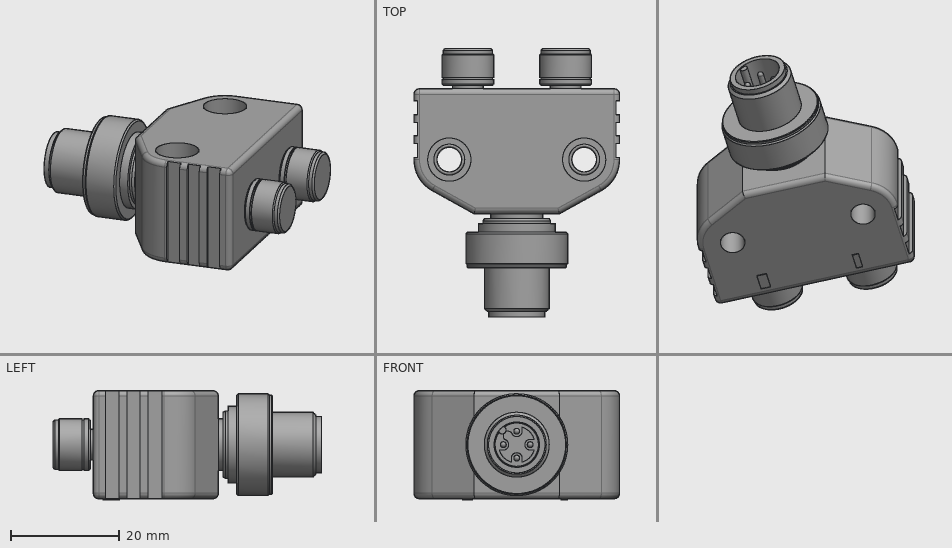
import cadquery as cq
import math


BODY_WIDTH = 38.0
BODY_LENGTH = 23.1
BODY_HEIGHT = 20.0
EDGE_RADIUS = 1.05
SLOPE_ANGLE = math.radians(29)

HOLE_X = 12.45
HOLE_Y = 10.0
HOLE_DIA = 4.5
COUNTERBORE_DIA = 8.0
COUNTERBORE_DEPTH = 4.55
BEAD_DIA = 5.7

GROOVE_ZONE_START = 10.4
GROOVE_ZONE_LENGTH = 10.45
GROOVE_DEPTH = 0.65
RIB_WIDTH = 1.5
RIB_OFFSET = 1.95

PAD_HEIGHT = 0.2
PAD_LENGTH = 3.05
PAD_REAR_GAP = 1.8
PADS = ((-9.15, 1.85), (8.8, 1.2))

SOCKET_X = 9.05
SOCKET_LENGTH = 7.45
SOCKET_DIA = 9.6
SOCKET_END_DIA = 9.2
SOCKET_NECK_DIA = 5.7
SOCKET_NECK_LENGTH = 0.55
SOCKET_COLLAR_END = 1.7
SOCKET_GROOVE_WIDTH = 0.35
SOCKET_SHOULDER = 6.2
SOCKET_TAPER = 0.25
SOCKET_CHAMFER = 0.35

PLUG_NECK_DIA = 9.6
PLUG_NECK_END = 0.85
SEAL_DIA = 12.5
SEAL_SMALL_DIA = 12.0
SEAL_END = 1.8
COLLAR_DIA = 14.25
NUT_START = 3.35
NUT_DIA = 18.85
NUT_LIP_DIA = 18.35
NUT_BODY_END = 9.15
NUT_LIP_START = 9.4
NUT_END = 9.95
NUT_CHAMFER = 0.3
NUT_LIP_CHAMFER = 0.15
BARREL_DIA = 12.0
BARREL_END = 18.0
BARREL_CHAMFER = 0.55
TIP_DIA = 10.4
TIP_END = 19.05

BORE_DIA = 8.4
BORE_FLOOR_DIA = 8.0
BORE_DEPTH = 7.95
INSERT_DIA = 6.75
INSERT_HEIGHT = 0.25
INSERT_BLEND_RADIUS = 0.65
PIN_DIA = 1.1
PIN_CIRCLE_RADIUS = 2.5
PIN_RECESS = 1.75
PIN_NOTCH_WIDTH = 2.0
KEY_DIA = 1.45
KEY_RECESS = 0.25
KEY_CIRCLE_RADIUS = 3.8
KEY_ANGLE = 45

EMBED = 0.5


def turned(profile):
    """Revolve (radius, y) points around the Y axis."""
    return cq.Workplane("XY").polyline(profile).close().revolve(360, (0, 0), (0, 1))


def along_y(sketch_y):
    """Workplane facing -Y at the given Y: local X is +X, local Y is +Z."""
    return cq.Workplane("XZ", origin=(0, sketch_y, 0))


def make_block():
    half = BODY_WIDTH / 2
    corner_radius = half - HOLE_X
    tangent_x = HOLE_X + corner_radius * math.sin(SLOPE_ANGLE)
    tangent_y = HOLE_Y - corner_radius * math.cos(SLOPE_ANGLE)
    front_x = tangent_x - tangent_y / math.tan(SLOPE_ANGLE)
    mid_angle = SLOPE_ANGLE / 2 - math.pi / 4
    mid_x = HOLE_X + corner_radius * math.cos(mid_angle)
    mid_y = HOLE_Y + corner_radius * math.sin(mid_angle)
    block = (
        cq.Workplane("XY", origin=(0, 0, -BODY_HEIGHT / 2))
        .moveTo(-front_x, 0)
        .lineTo(front_x, 0)
        .lineTo(tangent_x, tangent_y)
        .threePointArc((mid_x, mid_y), (half, HOLE_Y))
        .lineTo(half, BODY_LENGTH)
        .lineTo(-half, BODY_LENGTH)
        .lineTo(-half, HOLE_Y)
        .threePointArc((-mid_x, mid_y), (-tangent_x, tangent_y))
        .close()
        .extrude(BODY_HEIGHT)
    )
    block = block.faces(">Y").edges("|Z").fillet(EDGE_RADIUS)
    return block.faces("|Z").edges().fillet(EDGE_RADIUS)


def grip_grooves():
    """Both side channels, with the ribs between the grooves left standing."""
    zone_middle = GROOVE_ZONE_START + GROOVE_ZONE_LENGTH / 2
    channel_x = BODY_WIDTH / 2
    channels = (
        cq.Workplane("XY")
        .pushPoints([(-channel_x, zone_middle), (channel_x, zone_middle)])
        .rect(2 * GROOVE_DEPTH, GROOVE_ZONE_LENGTH)
        .extrude(BODY_HEIGHT, both=True)
    )
    ribs = (
        cq.Workplane("XY")
        .pushPoints([(0, zone_middle - RIB_OFFSET), (0, zone_middle + RIB_OFFSET)])
        .rect(2 * BODY_WIDTH, RIB_WIDTH)
        .extrude(BODY_HEIGHT, both=True)
    )
    return channels.cut(ribs)


def screw_hole():
    """Counterbored through hole, with a half-round bead standing around the bore."""
    top = BODY_HEIGHT / 2
    floor = top - COUNTERBORE_DEPTH
    bead_radius = (BEAD_DIA - HOLE_DIA) / 4
    bead_centre = (BEAD_DIA + HOLE_DIA) / 4
    return (
        cq.Workplane("XZ")
        .moveTo(0, -BODY_HEIGHT)
        .lineTo(HOLE_DIA / 2, -BODY_HEIGHT)
        .lineTo(HOLE_DIA / 2, floor)
        .threePointArc((bead_centre, floor + bead_radius), (BEAD_DIA / 2, floor))
        .lineTo(COUNTERBORE_DIA / 2, floor)
        .lineTo(COUNTERBORE_DIA / 2, top + EMBED)
        .lineTo(0, top + EMBED)
        .close()
        .revolve(360, (0, 0), (0, 1))
    )


def marking_pad(centre_x, width):
    underside = -BODY_HEIGHT / 2
    middle_y = BODY_LENGTH - PAD_REAR_GAP - PAD_LENGTH / 2
    height = PAD_HEIGHT + EMBED
    return (
        cq.Workplane("XY")
        .box(width, PAD_LENGTH, height, centered=(True, True, False))
        .translate((centre_x, middle_y, underside - PAD_HEIGHT))
    )


def socket():
    """Socket along +Y, its mounting face at Y = 0."""
    outer = SOCKET_DIA / 2
    neck = SOCKET_NECK_DIA / 2
    end = SOCKET_END_DIA / 2
    groove_end = SOCKET_COLLAR_END + SOCKET_GROOVE_WIDTH
    return turned([
        (0, -EMBED),
        (neck, -EMBED),
        (neck, SOCKET_NECK_LENGTH),
        (outer - SOCKET_CHAMFER, SOCKET_NECK_LENGTH),
        (outer, SOCKET_NECK_LENGTH + SOCKET_CHAMFER),
        (outer, SOCKET_COLLAR_END),
        (end, SOCKET_COLLAR_END),
        (end, groove_end),
        (outer, groove_end),
        (outer, SOCKET_SHOULDER),
        (end, SOCKET_SHOULDER + SOCKET_TAPER),
        (end, SOCKET_LENGTH - SOCKET_CHAMFER),
        (end - SOCKET_CHAMFER, SOCKET_LENGTH),
        (0, SOCKET_LENGTH),
    ])


def plug_shell():
    """Turned plug with its coupling nut and a slightly tapered blind bore."""
    neck = PLUG_NECK_DIA / 2
    seal = SEAL_DIA / 2
    seal_small = SEAL_SMALL_DIA / 2
    collar = COLLAR_DIA / 2
    nut = NUT_DIA / 2
    lip = NUT_LIP_DIA / 2
    barrel = BARREL_DIA / 2
    tip = TIP_DIA / 2
    bore_floor = TIP_END - BORE_DEPTH
    return turned([
        (0, EMBED),
        (neck, EMBED),
        (neck, -PLUG_NECK_END),
        (seal_small, -PLUG_NECK_END),
        (seal, -PLUG_NECK_END - (SEAL_DIA - SEAL_SMALL_DIA)),
        (seal, -SEAL_END),
        (collar, -SEAL_END),
        (collar, -NUT_START),
        (nut - NUT_CHAMFER, -NUT_START),
        (nut, -NUT_START - NUT_CHAMFER),
        (nut, -NUT_BODY_END),
        (lip, -NUT_LIP_START),
        (lip, -NUT_END + NUT_LIP_CHAMFER),
        (lip - NUT_LIP_CHAMFER, -NUT_END),
        (barrel, -NUT_END),
        (barrel, -BARREL_END + BARREL_CHAMFER),
        (barrel - BARREL_CHAMFER, -BARREL_END),
        (tip, -BARREL_END),
        (tip, -TIP_END),
        (BORE_DIA / 2, -TIP_END),
        (BORE_FLOOR_DIA / 2, -bore_floor),
        (0, -bore_floor),
    ])


def plug_insert():
    """Contact carrier on the bore floor, notched at the pins and cleared around the key."""
    floor_y = BORE_DEPTH - TIP_END
    notch_reach = INSERT_DIA
    carrier = along_y(floor_y + EMBED).circle(INSERT_DIA / 2).extrude(INSERT_HEIGHT + EMBED)
    notch = (
        along_y(floor_y)
        .center(PIN_CIRCLE_RADIUS + notch_reach / 2 - PIN_NOTCH_WIDTH / 2, 0)
        .slot2D(notch_reach, PIN_NOTCH_WIDTH)
        .extrude(INSERT_HEIGHT)
    )
    for quarter in range(4):
        carrier = carrier.cut(notch.rotate((0, 0, 0), (0, 1, 0), 90 * quarter))
    key_clearance = (
        along_y(floor_y)
        .rect(INSERT_DIA, INSERT_DIA)
        .rect(2 * PIN_CIRCLE_RADIUS, 2 * PIN_CIRCLE_RADIUS)
        .extrude(INSERT_HEIGHT)
    )
    key_quadrant = (
        along_y(floor_y)
        .center(-INSERT_DIA / 2, INSERT_DIA / 2)
        .rect(INSERT_DIA, INSERT_DIA)
        .extrude(INSERT_HEIGHT)
    )
    carrier = carrier.cut(key_clearance.intersect(key_quadrant))
    notch_half = PIN_NOTCH_WIDTH / 2
    edge_y = floor_y - INSERT_HEIGHT / 2
    for x, z in ((-notch_half, PIN_CIRCLE_RADIUS), (-PIN_CIRCLE_RADIUS, notch_half)):
        corner = cq.selectors.NearestToPointSelector((x, edge_y, z))
        carrier = carrier.edges(corner).fillet(INSERT_BLEND_RADIUS)
    return carrier


def contact_pin():
    """Round-ended pin above the plug axis."""
    root_y = BORE_DEPTH - TIP_END + EMBED
    radius = PIN_DIA / 2
    ball_y = PIN_RECESS - TIP_END + radius
    shaft = along_y(root_y).circle(radius).extrude(root_y - ball_y)
    pin = shaft.union(cq.Workplane("XY").sphere(radius).translate((0, ball_y, 0)))
    return pin.translate((0, 0, PIN_CIRCLE_RADIUS))


def coding_key():
    """Half-round key along the bore wall."""
    root_y = BORE_DEPTH - TIP_END + EMBED
    bar = (
        along_y(root_y)
        .center(0, KEY_CIRCLE_RADIUS)
        .circle(KEY_DIA / 2)
        .extrude(root_y + TIP_END - KEY_RECESS)
    )
    return bar.rotate((0, 0, 0), (0, 1, 0), -KEY_ANGLE)


result = make_block().cut(grip_grooves())
for side in (-1, 1):
    result = result.cut(screw_hole().translate((side * HOLE_X, HOLE_Y, 0)))
    result = result.union(socket().translate((side * SOCKET_X, BODY_LENGTH, 0)))
for pad_x, pad_width in PADS:
    result = result.union(marking_pad(pad_x, pad_width))
for plug_part in (plug_shell(), plug_insert(), coding_key()):
    result = result.union(plug_part)
for quarter in range(4):
    result = result.union(contact_pin().rotate((0, 0, 0), (0, 1, 0), 90 * quarter))